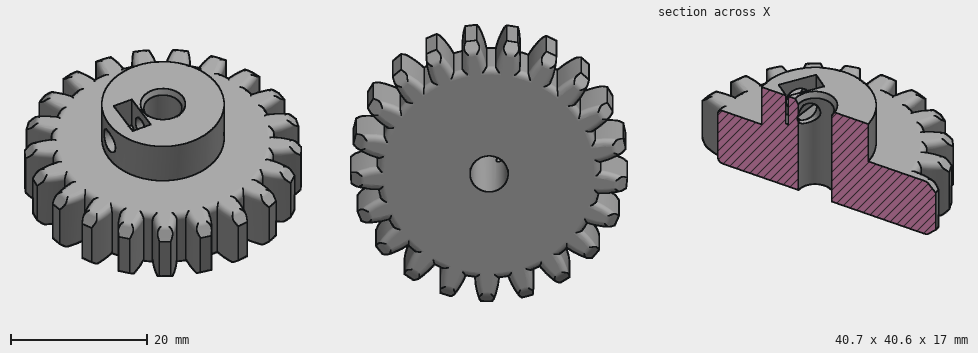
import cadquery as cq
import math

TOOTH_COUNT = 21
FIRST_TOOTH_ANGLE = 90.0
GEAR_HEIGHT = 10.0
TIP_RADIUS = 20.37
ROOT_RADIUS = 16.45
TIP_HALF_WIDTH = 0.835
MID_HALF_WIDTH = 1.50
MID_RADIUS = 18.47
ROOT_HALF_WIDTH = 1.80
TIP_CHAMFER = 1.5
FACE_FILLET = 1.0

HUB_DIAMETER = 18.0
TOTAL_HEIGHT = 17.0
HUB_HEIGHT = TOTAL_HEIGHT - GEAR_HEIGHT
BORE_DIAMETER = 5.6
COUNTERSINK_DIAMETER = 6.6
COUNTERSINK_INCLUDED_ANGLE = 60.0

SCREW_ANGLE = 232.5
SCREW_DIAMETER = 3.6
SCREW_Z = GEAR_HEIGHT + HUB_HEIGHT / 2
NUT_ACROSS_FLATS = 6.0
NUT_POCKET_THICKNESS = 3.0
NUT_POCKET_CENTER_RADIUS = 5.1


def polar(radius, angle):
    """Point at a radius and an angle in radians."""
    return (radius * math.cos(angle), radius * math.sin(angle))


def flank_point(radius, half_width, tooth_angle, side):
    """Point on one flank of a tooth; side is -1 (clockwise) or +1."""
    return polar(radius, tooth_angle + side * math.asin(half_width / radius))


def gear_outline():
    """Closed tooth profile with arc flanks, tips and roots, going counter-clockwise."""
    pitch = 2 * math.pi / TOOTH_COUNT
    start_angle = math.radians(FIRST_TOOTH_ANGLE)
    outline = cq.Workplane("XY").moveTo(*flank_point(ROOT_RADIUS, ROOT_HALF_WIDTH, start_angle, -1))
    for index in range(TOOTH_COUNT):
        angle = start_angle + index * pitch
        outline = outline.threePointArc(
            flank_point(MID_RADIUS, MID_HALF_WIDTH, angle, -1),
            flank_point(TIP_RADIUS, TIP_HALF_WIDTH, angle, -1),
        )
        outline = outline.threePointArc(
            polar(TIP_RADIUS, angle),
            flank_point(TIP_RADIUS, TIP_HALF_WIDTH, angle, 1),
        )
        outline = outline.threePointArc(
            flank_point(MID_RADIUS, MID_HALF_WIDTH, angle, 1),
            flank_point(ROOT_RADIUS, ROOT_HALF_WIDTH, angle, 1),
        )
        outline = outline.threePointArc(
            polar(ROOT_RADIUS, angle + pitch / 2),
            flank_point(ROOT_RADIUS, ROOT_HALF_WIDTH, angle + pitch, -1),
        )
    return outline.close()


def make_gear():
    """Toothed disc with bevelled tooth tips and rounded end-face edges."""
    blank_margin = 1.0
    blank = (
        cq.Workplane("XY")
        .circle(TIP_RADIUS + blank_margin)
        .extrude(GEAR_HEIGHT)
        .edges()
        .chamfer(TIP_CHAMFER + blank_margin)
    )
    gear = gear_outline().extrude(GEAR_HEIGHT).intersect(blank)
    return gear.faces("<Z or >Z").edges().fillet(FACE_FILLET)


def make_bore():
    """Through bore with a countersink at the hub end."""
    bore = cq.Workplane("XY").circle(BORE_DIAMETER / 2).extrude(TOTAL_HEIGHT)
    sink_width = (COUNTERSINK_DIAMETER - BORE_DIAMETER) / 2
    sink_depth = sink_width / math.tan(math.radians(COUNTERSINK_INCLUDED_ANGLE / 2))
    countersink = cq.Solid.makeCone(
        BORE_DIAMETER / 2,
        COUNTERSINK_DIAMETER / 2,
        sink_depth,
        pnt=cq.Vector(0, 0, TOTAL_HEIGHT - sink_depth),
    )
    return bore.union(cq.Workplane(obj=countersink))


def make_screw_hole():
    """Radial hole from the bore axis out through the hub wall."""
    hole = (
        cq.Workplane("YZ")
        .center(0, SCREW_Z)
        .circle(SCREW_DIAMETER / 2)
        .extrude(HUB_DIAMETER / 2)
    )
    return hole.rotate((0, 0, 0), (0, 0, 1), SCREW_ANGLE)


def make_nut_pocket():
    """Slot open at the hub top, with a V floor that fits the lower half of a hex nut."""
    hex_half_angle = math.pi / 6
    half_width = NUT_ACROSS_FLATS / 2
    floor_corner_z = SCREW_Z - half_width * math.tan(hex_half_angle)
    floor_point_z = SCREW_Z - half_width / math.cos(hex_half_angle)
    pocket = (
        cq.Workplane("YZ", origin=(NUT_POCKET_CENTER_RADIUS - NUT_POCKET_THICKNESS / 2, 0, 0))
        .moveTo(0, floor_point_z)
        .lineTo(half_width, floor_corner_z)
        .lineTo(half_width, TOTAL_HEIGHT)
        .lineTo(-half_width, TOTAL_HEIGHT)
        .lineTo(-half_width, floor_corner_z)
        .close()
        .extrude(NUT_POCKET_THICKNESS)
    )
    return pocket.rotate((0, 0, 0), (0, 0, 1), SCREW_ANGLE)


hub = cq.Workplane("XY").circle(HUB_DIAMETER / 2).extrude(TOTAL_HEIGHT)
result = make_gear().union(hub)
result = result.cut(make_bore()).cut(make_screw_hole()).cut(make_nut_pocket())